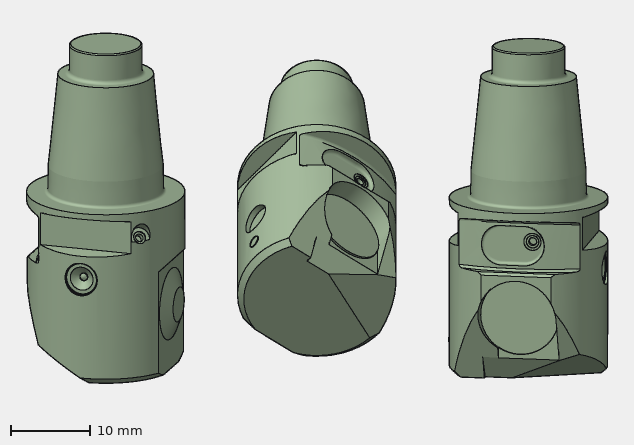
import cadquery as cq
import math

TOTAL_HEIGHT = 42.0
BODY_RADIUS = 10.0
FLANGE_TOP = 22.5
BOTTOM_CHAMFER = 0.8
REACH = 2 * BODY_RADIUS

SHANK_FILLET = 0.4
SHANK_BASE_RADIUS = 7.3
TAPER_BASE_RADIUS = 7.25
TAPER_BASE_Z = 26.0
TAPER_TOP_RADIUS = 6.05
TAPER_TOP_Z = 38.05
SPIGOT_RADIUS = 4.6
SPIGOT_FILLET = 0.5
SPIGOT_CHAMFER = 0.15

WALL_DRAFT = math.tan(math.radians(10))
SIDE_FLAT_Y = 8.0
SIDE_FLAT_BOTTOM = 17.2
SIDE_FLAT_TOP = 21.4
GROOVE_FLOOR_X = -7.7
GROOVE_FLOOR_RADIUS = 22.7
GROOVE_BOTTOM = 14.55
GROOVE_TOP = 21.45
GROOVE_FILLET = 0.35

SLOT_CENTER_Y = 0.7
SLOT_CENTER_Z = 17.8
SLOT_LENGTH = 8.05
SLOT_WIDTH = 5.1
SLOT_FLOOR_X = -6.9
SLOT_FILLET = 0.38

SLOT_HOLE_Y = -1.72
SLOT_HOLE_Z = 18.23
SLOT_HOLE_STEPS = [(2.2, 0.1), (1.6, 0.2), (1.0, 0.85)]
TILTED_HOLE_Z = 19.35
TILTED_HOLE_ANGLE = -45.0
TILTED_HOLE_TILT = 36.0
TILTED_HOLE_STEPS = [(2.6, 0.4), (1.6, 0.6), (1.0, 1.25)]

FRONT_FLAT_X = -8.95
FRONT_FLAT_TOP = 14.15
FRONT_CHAMFER = 0.25
NOSE_BOTTOM_X = -4.87
NOSE_SLOPE = 0.4
BACK_FLAT_X = 8.7
BACK_FLAT_TOP = 14.15
RELIEF_TOP = 2.95
RELIEF_BOTTOM_X = -4.15
RELIEF_SIDE_Y = 4.8
CORNER_CUT_POINT = (-4.2, 1.18, 0.1)
CORNER_CUT_NORMAL = (-194.0, -92.0, -330.0)

CARTRIDGE_Z = 8.53
CARTRIDGE_RADIUS = 5.0
CARTRIDGE_FACE_X = -6.3
DIAL_RADIUS = 4.6
DIAL_TOP_RADIUS = 2.23
DIAL_TOP_X = 9.7
DIAL_SHOULDER_X = 6.3
POCKET_FLOOR_X = NOSE_BOTTOM_X - NOSE_SLOPE * RELIEF_TOP
POCKET_SIDE_Y = 2.77

CLAMP_Z = 13.78
CLAMP_RADIUS = 2.12
CLAMP_RIM_Y = -9.6
CLAMP_FACE_RADIUS = 1.995
CLAMP_FACE_Y = -9.55
CLAMP_CONE_RADIUS = 1.5
CLAMP_CONE_Y = -8.6
CLAMP_TIP_RADIUS = 0.5
CLAMP_TIP_SIDE_Y = -8.78
CLAMP_TIP_Y = -9.0
REAR_RECESS_RADIUS = 1.995
REAR_RECESS_DEPTH = 0.85
BUTTON_RADIUS = 0.8
BUTTON_Z = 3.9
BUTTON_HEIGHT = 0.1
BUTTON_ROOT = 0.4


def box_between(low, high):
    """Box spanning two opposite corners."""
    size = [b - a for a, b in zip(low, high)]
    return cq.Workplane("XY").box(*size, centered=False).translate(tuple(low))


def across_y(points):
    """XZ outline extruded through the whole body along Y."""
    return cq.Workplane("XZ").polyline(points).close().extrude(REACH, both=True)


def stepped_hole(start, inward, steps):
    """Cutter of coaxial cylinders, each reaching its own depth; it also clears outside the start."""
    start = cq.Vector(*start)
    inward = cq.Vector(*inward).normalized()
    clearance = steps[0][0]
    outside = cq.Solid.makeCylinder(clearance / 2, clearance, start - inward * clearance, inward)
    cutter = cq.Workplane(obj=outside)
    for diameter, depth in steps:
        cutter = cutter.union(cq.Workplane(obj=cq.Solid.makeCylinder(diameter / 2, depth, start, inward)))
    return cutter


def turned_blank():
    """Body, flange and tapered shank with its spigot, turned about Z."""
    fillet_base_z = FLANGE_TOP + SHANK_FILLET
    spigot_base_z = TAPER_TOP_Z + SPIGOT_FILLET
    dip = 1 - math.sqrt(0.5)
    profile = (
        cq.Workplane("XZ")
        .moveTo(0, 0)
        .lineTo(BODY_RADIUS - BOTTOM_CHAMFER, 0)
        .lineTo(BODY_RADIUS, BOTTOM_CHAMFER)
        .lineTo(BODY_RADIUS, FLANGE_TOP)
        .lineTo(SHANK_BASE_RADIUS + SHANK_FILLET, FLANGE_TOP)
        .threePointArc(
            (SHANK_BASE_RADIUS + dip * SHANK_FILLET, FLANGE_TOP + dip * SHANK_FILLET),
            (SHANK_BASE_RADIUS, fillet_base_z),
        )
        .lineTo(TAPER_BASE_RADIUS, TAPER_BASE_Z)
        .lineTo(TAPER_TOP_RADIUS, TAPER_TOP_Z)
        .lineTo(SPIGOT_RADIUS + SPIGOT_FILLET, TAPER_TOP_Z)
        .threePointArc(
            (SPIGOT_RADIUS + dip * SPIGOT_FILLET, TAPER_TOP_Z + dip * SPIGOT_FILLET),
            (SPIGOT_RADIUS, spigot_base_z),
        )
        .lineTo(SPIGOT_RADIUS, TOTAL_HEIGHT - SPIGOT_CHAMFER)
        .lineTo(SPIGOT_RADIUS - SPIGOT_CHAMFER, TOTAL_HEIGHT)
        .lineTo(0, TOTAL_HEIGHT)
        .close()
    )
    return profile.revolve(360, (0, 0, 0), (0, 1, 0))


def side_flat(side):
    """Wrench flat with drafted walls; side is -1 for -Y and 1 for +Y."""
    outer_y = BODY_RADIUS + 0.4
    spread = (outer_y - SIDE_FLAT_Y) * WALL_DRAFT
    points = [
        (side * SIDE_FLAT_Y, SIDE_FLAT_BOTTOM),
        (side * SIDE_FLAT_Y, SIDE_FLAT_TOP),
        (side * outer_y, SIDE_FLAT_TOP + spread),
        (side * outer_y, SIDE_FLAT_BOTTOM - spread),
    ]
    return cq.Workplane("YZ").polyline(points).close().extrude(REACH, both=True)


def groove():
    """Wide groove on -X: curved floor, level bottom wall and drafted top wall."""
    drop = BODY_RADIUS * WALL_DRAFT
    rise = (REACH - BODY_RADIUS) * WALL_DRAFT
    cutter = across_y([
        (-REACH, GROOVE_BOTTOM),
        (0, GROOVE_BOTTOM),
        (0, GROOVE_TOP - drop),
        (-REACH, GROOVE_TOP + rise),
    ])
    floor = (
        cq.Workplane("XY")
        .center(GROOVE_FLOOR_X + GROOVE_FLOOR_RADIUS, 0)
        .circle(GROOVE_FLOOR_RADIUS)
        .extrude(TOTAL_HEIGHT)
    )
    cutter = cutter.cut(floor)
    floor_edges = cutter.faces("%CYLINDER").edges("not(|Z)").edges("not(|Y)")
    return floor_edges.fillet(GROOVE_FILLET)


def slot():
    """Obround recess in the groove floor with a rounded floor edge."""
    return (
        cq.Workplane("YZ", origin=(SLOT_FLOOR_X, SLOT_CENTER_Y, SLOT_CENTER_Z))
        .slot2D(SLOT_LENGTH, SLOT_WIDTH)
        .extrude(-SLOT_WIDTH)
        .faces(">X")
        .edges()
        .fillet(SLOT_FILLET)
    )


def tilted_hole():
    """Stepped hole entering the body side radially and downward."""
    around = math.radians(TILTED_HOLE_ANGLE)
    tilt = math.radians(TILTED_HOLE_TILT)
    start = (BODY_RADIUS * math.cos(around), BODY_RADIUS * math.sin(around), TILTED_HOLE_Z)
    inward = (-math.cos(tilt) * math.cos(around), -math.cos(tilt) * math.sin(around), -math.sin(tilt))
    return stepped_hole(start, inward, TILTED_HOLE_STEPS)


def front_flat_and_nose():
    """Flat on -X with a chamfered top edge, running into the sloping nose face."""
    slope_start_z = (NOSE_BOTTOM_X - FRONT_FLAT_X) / NOSE_SLOPE
    return across_y([
        (-REACH, 0),
        (NOSE_BOTTOM_X, 0),
        (FRONT_FLAT_X, slope_start_z),
        (FRONT_FLAT_X, FRONT_FLAT_TOP),
        (FRONT_FLAT_X + FRONT_CHAMFER, GROOVE_BOTTOM),
        (-REACH, GROOVE_BOTTOM),
    ])


def back_flat():
    """Flat on +X whose top runs out at 45 degrees."""
    run_out = REACH - BACK_FLAT_X
    return across_y([
        (BACK_FLAT_X, 0),
        (BACK_FLAT_X, BACK_FLAT_TOP),
        (REACH, BACK_FLAT_TOP + run_out),
        (REACH, 0),
    ])


def relief():
    """Steeper face below the pocket, ending at a wall on its +Y side."""
    cutter = across_y([
        (-REACH, 0),
        (RELIEF_BOTTOM_X, 0),
        (POCKET_FLOOR_X, RELIEF_TOP),
        (-REACH, RELIEF_TOP),
    ])
    return cutter.intersect(box_between((-REACH, -REACH, 0), (0, RELIEF_SIDE_Y, RELIEF_TOP)))


def corner_cut():
    """Slanted plane that takes off the lower -X, -Y corner."""
    plane = cq.Plane(origin=CORNER_CUT_POINT, normal=CORNER_CUT_NORMAL)
    return cq.Workplane(plane).rect(2 * REACH, 2 * REACH).extrude(REACH)


def chip_pocket():
    """Round pocket over the cartridge, opened downward through the nose."""
    bore = (
        cq.Workplane("YZ", origin=(POCKET_FLOOR_X, 0, CARTRIDGE_Z))
        .circle(CARTRIDGE_RADIUS)
        .extrude(-REACH)
    )
    opening = box_between(
        (-REACH, -CARTRIDGE_RADIUS, RELIEF_TOP),
        (POCKET_FLOOR_X, POCKET_SIDE_Y, CARTRIDGE_Z),
    )
    return bore.union(opening)


def clamp_recess():
    """Round recess on -Y with a dished floor and a small raised tip at its centre."""
    points = [
        (0, -REACH),
        (CLAMP_RADIUS, -REACH),
        (CLAMP_RADIUS, CLAMP_RIM_Y),
        (CLAMP_FACE_RADIUS, CLAMP_RIM_Y),
        (CLAMP_FACE_RADIUS, CLAMP_FACE_Y),
        (CLAMP_CONE_RADIUS, CLAMP_FACE_Y),
        (CLAMP_TIP_RADIUS, CLAMP_CONE_Y),
        (CLAMP_TIP_RADIUS, CLAMP_TIP_SIDE_Y),
        (0, CLAMP_TIP_Y),
    ]
    cutter = cq.Workplane("XY").polyline(points).close().revolve(360, (0, 0, 0), (0, 1, 0))
    return cutter.translate((0, 0, CLAMP_Z))


def rear_recess():
    """Plain round recess on +Y, level with the cartridge."""
    return stepped_hole(
        (0, BODY_RADIUS, CARTRIDGE_Z), (0, -1, 0), [(2 * REAR_RECESS_RADIUS, REAR_RECESS_DEPTH)]
    )


def button():
    """Small round button standing just proud of the +Y side."""
    return (
        cq.Workplane("XZ", origin=(0, BODY_RADIUS + BUTTON_HEIGHT, BUTTON_Z))
        .circle(BUTTON_RADIUS)
        .extrude(BUTTON_ROOT)
    )


def make_cartridge():
    """Stepped cartridge along X with a conical dial at its +X end."""
    points = [
        (CARTRIDGE_FACE_X, 0),
        (CARTRIDGE_FACE_X, CARTRIDGE_RADIUS),
        (DIAL_SHOULDER_X, CARTRIDGE_RADIUS),
        (DIAL_SHOULDER_X, DIAL_RADIUS),
        (BACK_FLAT_X, DIAL_RADIUS),
        (DIAL_TOP_X, DIAL_TOP_RADIUS),
        (DIAL_TOP_X, 0),
    ]
    turned = cq.Workplane("XZ").polyline(points).close().revolve(360, (0, 0, 0), (1, 0, 0))
    return turned.translate((0, 0, CARTRIDGE_Z))


def make_housing(cartridge):
    """Turned blank with all its cuts and a bore that matches the cartridge."""
    slot_hole = stepped_hole((SLOT_FLOOR_X, SLOT_HOLE_Y, SLOT_HOLE_Z), (1, 0, 0), SLOT_HOLE_STEPS)
    cuts = [
        side_flat(-1),
        side_flat(1),
        groove(),
        slot(),
        slot_hole,
        tilted_hole(),
        front_flat_and_nose(),
        back_flat(),
        relief(),
        corner_cut(),
        chip_pocket(),
        clamp_recess(),
        rear_recess(),
        cartridge,
    ]
    housing = turned_blank().union(button())
    for cutter in cuts:
        housing = housing.cut(cutter)
    return housing


cartridge = make_cartridge()
housing = make_housing(cartridge)
result = cq.Compound.makeCompound([housing.solids().val(), cartridge.val()])